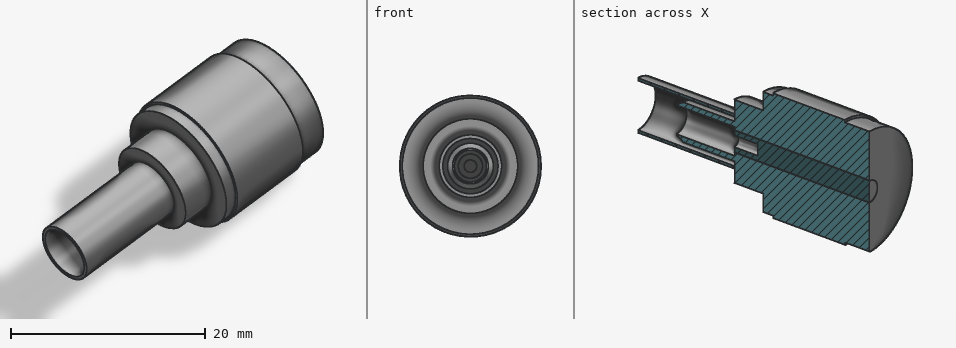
import cadquery as cq

total_length = 30.53
ferrule_length = 12.7
collar_length = 3.8
rear_band_length = 1.3
front_band_length = 3.25

sleeve_radius = 7.27
band_radius = 7.0
collar_radius = 4.85

ferrule_radius = 3.2
ferrule_bore_radius = 2.85

post_radius = 2.35
post_tip_radius = 1.83
post_bore_radius = 1.65
post_length = 7.63
post_taper_length = 0.92

contact_radius = 1.25
solder_cup_radius = 0.65
solder_cup_depth = 3.05

collar_start = ferrule_length
rear_band_start = collar_start + collar_length
sleeve_start = rear_band_start + rear_band_length
front_band_start = total_length - front_band_length
post_tip = ferrule_length - post_length
contact_start = ferrule_length


def cylinder(radius, start, end):
    """Solid cylinder on the Y axis between two stations."""
    plane = cq.Plane(origin=(0, start, 0), xDir=(1, 0, 0), normal=(0, 1, 0))
    return cq.Workplane(plane).circle(radius).extrude(end - start)


def make_housing():
    """Stepped shell with a tapered crimp post, bored for the cable and the contact."""
    profile = [
        (0, post_tip),
        (post_tip_radius, post_tip),
        (post_radius, post_tip + post_taper_length),
        (post_radius, collar_start),
        (collar_radius, collar_start),
        (collar_radius, rear_band_start),
        (band_radius, rear_band_start),
        (band_radius, sleeve_start),
        (sleeve_radius, sleeve_start),
        (sleeve_radius, front_band_start),
        (band_radius, front_band_start),
        (band_radius, total_length),
        (0, total_length),
    ]
    body = cq.Workplane("XY").polyline(profile).close().revolve(360, (0, 0, 0), (0, 1, 0))
    cable_bore = cylinder(post_bore_radius, post_tip, contact_start)
    contact_bore = cylinder(contact_radius, contact_start, total_length)
    return body.cut(cable_bore).cut(contact_bore)


def make_ferrule():
    """Thin crimp tube butted against the housing collar."""
    outside = cylinder(ferrule_radius, 0, ferrule_length)
    return outside.cut(cylinder(ferrule_bore_radius, 0, ferrule_length))


def make_contact():
    """Centre contact with a blind solder cup in its rear end."""
    rod = cylinder(contact_radius, contact_start, total_length)
    solder_cup = cylinder(solder_cup_radius, contact_start, contact_start + solder_cup_depth)
    return rod.cut(solder_cup)


housing = make_housing()
ferrule = make_ferrule()
contact = make_contact()

result = cq.Compound.makeCompound([housing.val(), ferrule.val(), contact.val()])